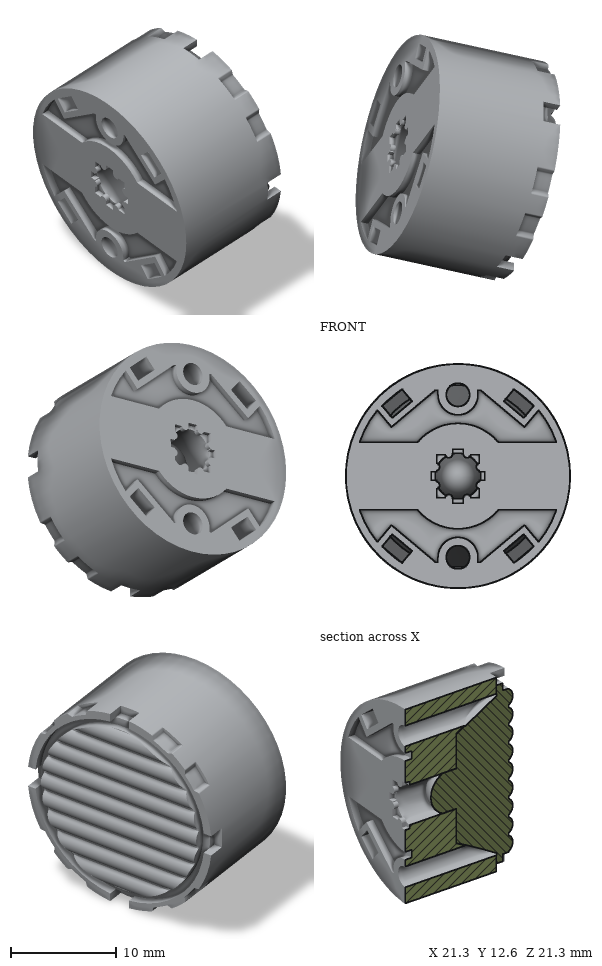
import cadquery as cq
import math

housing_radius = 10.65
housing_depth = 12.35
rear_overhang = 0.2
wall = 0.85
rim_cut_depth = 1.75
lid_seat_y = housing_depth - rim_cut_depth
lid_seat_radius = housing_radius - wall

pocket_depth = 0.75
pocket_radius = 9.88
band_half_height = 3.22
hub_radius = 5.0
pocket_top = 8.15

hole_radius = 1.1
hole_offset = 7.7
boss_radius = 1.9

slot_angle = 50
slot_length = 2.45
slot_inner = 8.25
slot_outer = 9.73
slot_wall = 0.62

bore_radius = 2.17
mouth_depth = 0.51
mouth_square = 4.07
mouth_cross_reach = 2.55
mouth_cross_width_z = 0.8
mouth_cross_width_x = 1.0
lobe_radius = 0.36
lobe_centre_radius = 2.28
lobe_count = 8

notch_width = 2.17
notch_overlap = 0.21
grip_spacing = 12.4
grip_depth = 0.43
grip_floor_width = 1.79
grip_side_run = 0.38
grip_fillet = 0.17
corner_margin = 0.02

flange_radius = lid_seat_radius
flange_rear_y = 11.4
plate_radius = 8.99
plate_rear_y = 12.05
ridge_radius = 1.06
ridge_pitch = 2.0
ridge_height = housing_depth + rear_overhang - plate_rear_y
ridge_overlap = 0.21
ridges_per_side = 4
cone_base_radius = 8.63
cone_front_radius = 5.96
cone_front_y = 5.96
pin_tip_y = 2.98
dome_radius = 2.45


def disc(radius, start_y, end_y, x=0, z=0):
    """Cylinder along Y, centred on (x, z)."""
    return cq.Workplane("XZ", origin=(x, start_y, z)).circle(radius).extrude(start_y - end_y)


def block(x0, x1, y0, y1, z0, z1):
    """Box between two opposite corners."""
    return cq.Workplane("XY").box(x1 - x0, y1 - y0, z1 - z0, centered=False).translate((x0, y0, z0))


def turned(shape, angle):
    """Turn a shape from +X toward +Z about the Y axis."""
    return shape.rotate((0, 0, 0), (0, 1, 0), -angle)


def slot_angles():
    """Directions of the four rectangular slots."""
    return (slot_angle, 180 - slot_angle, 180 + slot_angle, 360 - slot_angle)


def cone_recess():
    """Recess in the housing that matches the cone of the lid."""
    outline = [
        (0, cone_front_y),
        (cone_front_radius, cone_front_y),
        (cone_base_radius, lid_seat_y),
        (0, lid_seat_y),
    ]
    return cq.Workplane("XY").polyline(outline).close().revolve(360, (0, 0, 0), (0, 1, 0))


def front_pocket():
    """Upper front pocket, around the hub, the hole boss and the slot walls."""
    pocket = disc(pocket_radius, 0, pocket_depth)
    pocket = pocket.cut(disc(hub_radius, 0, pocket_depth))
    above_band = block(
        -pocket_radius, pocket_radius, 0, pocket_depth, band_half_height, pocket_top
    )
    pocket = pocket.intersect(above_band)
    for angle in (slot_angle, 180 - slot_angle):
        slot_surround = block(
            slot_inner - slot_wall,
            2 * housing_radius,
            0,
            pocket_depth,
            -slot_length / 2 - slot_wall,
            2 * housing_radius,
        )
        if angle > 90:
            slot_surround = slot_surround.mirror("XY")
        pocket = pocket.cut(turned(slot_surround, angle))
    pocket = pocket.cut(disc(boss_radius, 0, pocket_depth, 0, hole_offset))
    return pocket.cut(block(-boss_radius, boss_radius, 0, pocket_depth, hole_offset, housing_radius))


def mouth():
    """Splined mouth: a square and a cross, with round lobes standing in between."""
    half = mouth_square / 2
    half_x = mouth_cross_width_x / 2
    half_z = mouth_cross_width_z / 2
    opening = block(-half, half, 0, mouth_depth, -half, half)
    opening = opening.union(
        block(-half_x, half_x, 0, mouth_depth, -mouth_cross_reach, mouth_cross_reach)
    )
    opening = opening.union(
        block(-mouth_cross_reach, mouth_cross_reach, 0, mouth_depth, -half_z, half_z)
    )
    step = 360 / lobe_count
    for index in range(lobe_count):
        lobe = disc(lobe_radius, 0, mouth_depth, lobe_centre_radius, 0)
        opening = opening.cut(turned(lobe, (index + 0.5) * step))
    return opening


def rim_notch():
    """Cutter on the +X side for a notch through the wall of the rear rim."""
    notch = block(
        lid_seat_radius - notch_overlap,
        housing_radius,
        lid_seat_y,
        housing_depth,
        -notch_width / 2,
        notch_width / 2,
    )
    return notch.cut(disc(lid_seat_radius, lid_seat_y, housing_depth))


def grip_recess():
    """Cutter on the +X side for a shallow recess in the rear rim, with sloping, rounded sides."""
    floor_x = housing_radius - grip_depth
    floor_z = grip_floor_width / 2
    floor_end_x = math.sqrt(floor_x**2 - floor_z**2)
    rim_z = floor_z + grip_side_run
    rim_x = math.sqrt(housing_radius**2 - rim_z**2)
    tangent = grip_depth / housing_radius
    outer_x = rim_x - tangent * rim_z
    outer_z = rim_z + tangent * rim_x
    far_x = housing_radius + grip_depth
    cutter = (
        cq.Workplane("XZ", origin=(0, housing_depth, 0))
        .moveTo(far_x, -outer_z)
        .lineTo(outer_x, -outer_z)
        .lineTo(rim_x, -rim_z)
        .lineTo(floor_end_x, -floor_z)
        .threePointArc((floor_x, 0), (floor_end_x, floor_z))
        .lineTo(rim_x, rim_z)
        .lineTo(outer_x, outer_z)
        .lineTo(far_x, outer_z)
        .close()
        .extrude(rim_cut_depth)
    )
    side_corners = cq.selectors.BoxSelector(
        (floor_end_x - corner_margin, 0, -rim_z - corner_margin),
        (rim_x + corner_margin, housing_depth, rim_z + corner_margin),
    )
    return cutter.edges("|Y").edges(side_corners).fillet(grip_fillet)


def make_housing():
    """Housing with its lid seat, front pockets, holes, slots, splined bore and rim cut-outs."""
    body = disc(housing_radius, 0, housing_depth)
    body = body.cut(disc(lid_seat_radius, lid_seat_y, housing_depth)).cut(cone_recess())
    for angle in (0, 180):
        body = body.cut(turned(front_pocket(), angle))
    for side in (-1, 1):
        body = body.cut(disc(hole_radius, 0, lid_seat_y, 0, side * hole_offset))
    slot = block(slot_inner, slot_outer, 0, lid_seat_y, -slot_length / 2, slot_length / 2)
    for angle in slot_angles():
        body = body.cut(turned(slot, angle))
    body = body.cut(mouth()).cut(disc(bore_radius, mouth_depth, lid_seat_y))
    for angle in (0, 90, 180, 270):
        body = body.cut(turned(rim_notch(), angle))
    for angle in slot_angles():
        for side in (-1, 1):
            body = body.cut(turned(grip_recess(), angle + side * grip_spacing))
    return body


def lid_core():
    """Turned part of the lid: pin with a rounded end, cone, flange and plate."""
    dome_centre_y = pin_tip_y + dome_radius
    dome_mid = math.sin(math.asin(bore_radius / dome_radius) / 2)
    pin_shoulder_y = dome_centre_y - math.sqrt(dome_radius**2 - bore_radius**2)
    return (
        cq.Workplane("XY")
        .moveTo(0, pin_tip_y)
        .threePointArc(
            (dome_radius * dome_mid, dome_centre_y - dome_radius * math.sqrt(1 - dome_mid**2)),
            (bore_radius, pin_shoulder_y),
        )
        .lineTo(bore_radius, cone_front_y)
        .lineTo(cone_front_radius, cone_front_y)
        .lineTo(cone_base_radius, lid_seat_y)
        .lineTo(flange_radius, lid_seat_y)
        .lineTo(flange_radius, flange_rear_y)
        .lineTo(plate_radius, flange_rear_y)
        .lineTo(plate_radius, plate_rear_y)
        .lineTo(0, plate_rear_y)
        .close()
        .revolve(360, (0, 0, 0), (0, 1, 0))
    )


def ridge(z):
    """One straight ridge along X on the rear of the lid, with a round crest."""
    crest_y = plate_rear_y + ridge_height
    rod = (
        cq.Workplane("YZ", origin=(-plate_radius, 0, 0))
        .center(crest_y - ridge_radius, z)
        .circle(ridge_radius)
        .extrude(2 * plate_radius)
    )
    return rod.intersect(disc(plate_radius, plate_rear_y - ridge_overlap, crest_y))


def make_lid():
    """Lid in one piece: the turned core and the ridges on its rear face."""
    body = lid_core()
    for index in range(-ridges_per_side, ridges_per_side + 1):
        body = body.union(ridge(index * ridge_pitch))
    return body


housing = make_housing()
lid = make_lid()
result = cq.Compound.makeCompound([housing.val(), lid.val()])